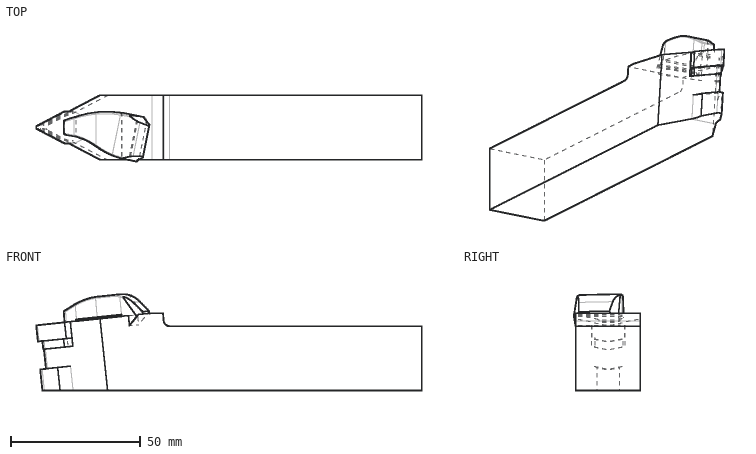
import cadquery as cq
import math


TOTAL_LENGTH = 149.07
SHANK_WIDTH = 25.0
SHANK_HEIGHT = 25.0
HALF_WIDTH = SHANK_WIDTH / 2
STEP_HEIGHT = 30.0
STEP_BACK_X = 49.1
STEP_BACK_LEAN = 0.4
STEP_FILLET = 2.2

TILT = 6.0
NOSE_HEIGHT = 25.3
NOSE_HALF_ANGLE = 27.5
FLANK_SLOPE = math.tan(math.radians(NOSE_HALF_ANGLE))

HEAD_NOSE = 2.0
HEAD_NOSE_RADIUS = 1.0
POCKET_BACK = 13.3
INSERT_RADIUS = 0.8
INSERT_THICKNESS = 6.35
INSERT_HALF_WIDTH = 6.25
INSERT_INSCRIBED_DIAMETER = 12.7
SHIM_NOSE = 1.75
SHIM_RADIUS = 1.15
SHIM_THICKNESS = 3.18
SHIM_LEFT_WIDTH = 5.7
SHIM_RIGHT_WIDTH = 5.0
SHIM_DEPTH = INSERT_THICKNESS + SHIM_THICKNESS
FOOT_NOSE = -0.25
FOOT_RADIUS = 1.35
FOOT_DEPTH = 17.1
FOOT_FLANK_END = 6.6
FOOT_END = 11.5

CLAMP_TURN = 11.5
CLAMP_TOP = 8.55
CLAMP_NOSE = 11.0
CLAMP_NOSE_HALF_WIDTH = 2.8
CLAMP_NOSE_FILLET = 0.8
CLAMP_NOSE_TOP_FILLET = 0.5
CLAMP_DRAFT = 2.0
CLAMP_NOSE_HEIGHT = 4.2
CLAMP_ARC_START = (15.35, 6.3)
CLAMP_ARC_END = 24.1
CLAMP_PAD_END = 15.5
CLAMP_GAP = 0.6
CLAMP_GAP_END = 33.2
TAIL_ARC_START = 31.9
TAIL_ARC_RADIUS = 10.0
TAIL_SLOPE = 50.0
TAIL_END = 43.0
CLAMP_LEFT_START = (15.7, 4.25)
CLAMP_LEFT_MIDDLE = (23.6, 5.95)
CLAMP_LEFT_END = 33.0
CLAMP_RIGHT_START = (15.7, -3.6)
CLAMP_RIGHT_HOLLOW = (19.5, -4.95)
CLAMP_RIGHT_WAIST = (23.7, -7.4)
CLAMP_RIGHT_BULGE = (28.3, -10.2)
CLAMP_RIGHT_END = 34.9
TAIL_RIGHT = -5.17
TAIL_LEFT = 12.3
TAIL_RIGHT_CORNER = 35.1
TAIL_LEFT_CORNER = 34.5
TAIL_CORNER_NORMAL = (0.586, 0.717, 0.37)

GROOVE_FRONT = 37.65
GROOVE_DEPTH = 3.87

REACH = 60.0


def head_plane(turn=0.0):
    """Plane on the head's top; its x axis runs back from the nose, turned about the normal."""
    plane = cq.Plane(origin=(0, 0, NOSE_HEIGHT), xDir=(1, 0, 0), normal=(0, 0, 1))
    return plane.rotated((0, -TILT, 0)).rotated((0, 0, -turn))


def head_side_plane(turn=0.0):
    """Plane across the head's top, for profiles in distance back and height."""
    top = head_plane(turn)
    return cq.Plane(origin=top.origin, xDir=top.xDir, normal=-top.yDir)


def apex(nose, radius):
    """Where the two flanks of a rounded nose would meet."""
    return nose + radius - radius / math.sin(math.radians(NOSE_HALF_ANGLE))


def flank_y(distance, nose, radius):
    """Half width of a nose at a distance behind the head frame's origin."""
    return (distance - apex(nose, radius)) * FLANK_SLOPE


def flank_distance(half_width, nose, radius):
    """Distance at which a nose reaches a half width."""
    return apex(nose, radius) + half_width / FLANK_SLOPE


def start_nose(nose, radius):
    """Start an outline at the right end of the nose arc and draw the arc to its left end."""
    half_angle = math.radians(NOSE_HALF_ANGLE)
    tangent_x = nose + radius - radius * math.sin(half_angle)
    tangent_y = radius * math.cos(half_angle)
    outline = cq.Workplane(head_plane()).moveTo(tangent_x, -tangent_y)
    return outline.threePointArc((nose, 0), (tangent_x, tangent_y))


def layer(outline, top, bottom):
    """Prism of a head outline between two depths below the head's top."""
    return outline.extrude(top - bottom).translate(head_plane().zDir * -top)


def make_insert():
    flat_start = flank_distance(INSERT_HALF_WIDTH, 0, INSERT_RADIUS)
    half_diagonal = INSERT_INSCRIBED_DIAMETER / 2 / math.sin(math.radians(NOSE_HALF_ANGLE))
    center = apex(0, INSERT_RADIUS) + half_diagonal
    flat_end = 2 * center - flat_start
    far_apex = center + half_diagonal
    outline = (
        start_nose(0, INSERT_RADIUS)
        .lineTo(flat_start, INSERT_HALF_WIDTH)
        .lineTo(flat_end, INSERT_HALF_WIDTH)
        .lineTo(far_apex, 0)
        .lineTo(flat_end, -INSERT_HALF_WIDTH)
        .lineTo(flat_start, -INSERT_HALF_WIDTH)
        .close()
    )
    return layer(outline, 0, INSERT_THICKNESS)


def make_shim():
    left_start = flank_distance(SHIM_LEFT_WIDTH, SHIM_NOSE, SHIM_RADIUS)
    right_start = flank_distance(SHIM_RIGHT_WIDTH, SHIM_NOSE, SHIM_RADIUS)
    outline = (
        start_nose(SHIM_NOSE, SHIM_RADIUS)
        .lineTo(left_start, SHIM_LEFT_WIDTH)
        .lineTo(POCKET_BACK, SHIM_LEFT_WIDTH)
        .lineTo(POCKET_BACK, -SHIM_RIGHT_WIDTH)
        .lineTo(right_start, -SHIM_RIGHT_WIDTH)
        .close()
    )
    return layer(outline, INSERT_THICKNESS, SHIM_DEPTH)


def make_foot():
    """Wider nose at the bottom of the head, blended into the head's flanks."""
    flank_end_y = flank_y(FOOT_FLANK_END, FOOT_NOSE, FOOT_RADIUS)
    end_y = flank_y(FOOT_END, HEAD_NOSE, HEAD_NOSE_RADIUS)
    run = FOOT_END - FOOT_FLANK_END
    rise = end_y - flank_end_y
    blend_radius = (run**2 + rise**2) / (2 * rise)
    half_sweep = math.atan2(rise, run)
    middle_x = FOOT_FLANK_END + blend_radius * math.sin(half_sweep)
    middle_y = flank_end_y + blend_radius * (1 - math.cos(half_sweep))
    outline = (
        start_nose(FOOT_NOSE, FOOT_RADIUS)
        .lineTo(FOOT_FLANK_END, flank_end_y)
        .threePointArc((middle_x, middle_y), (FOOT_END, end_y))
        .lineTo(FOOT_END, -end_y)
        .threePointArc((middle_x, -middle_y), (FOOT_FLANK_END, -flank_end_y))
        .close()
    )
    foot = layer(outline, FOOT_DEPTH, FOOT_DEPTH + SHANK_HEIGHT)
    below = cq.Workplane("XY").rect(REACH, REACH).extrude(-REACH)
    return foot.cut(below)


def make_blank():
    """Shank with its raised head, before the nose is shaped."""
    tilt_slope = math.tan(math.radians(TILT))
    ridge_x = (STEP_HEIGHT - NOSE_HEIGHT) / tilt_slope
    front_x = -SHANK_HEIGHT * tilt_slope
    step_foot_x = STEP_BACK_X + STEP_BACK_LEAN
    blank = (
        cq.Workplane("XZ")
        .moveTo(front_x, 0)
        .lineTo(TOTAL_LENGTH, 0)
        .lineTo(TOTAL_LENGTH, SHANK_HEIGHT)
        .lineTo(step_foot_x, SHANK_HEIGHT)
        .lineTo(STEP_BACK_X, STEP_HEIGHT)
        .lineTo(ridge_x, STEP_HEIGHT)
        .lineTo(front_x, NOSE_HEIGHT + front_x * tilt_slope)
        .close()
        .extrude(HALF_WIDTH, both=True)
    )
    step_foot = cq.selectors.NearestToPointSelector((step_foot_x, 0, SHANK_HEIGHT))
    return blank.edges("|Y").edges(step_foot).fillet(STEP_FILLET)


def make_head_outline():
    """Tilted prism that trims the blank to its pointed head."""
    shoulder = flank_distance(HALF_WIDTH, HEAD_NOSE, HEAD_NOSE_RADIUS)
    far = TOTAL_LENGTH + REACH
    outline = (
        start_nose(HEAD_NOSE, HEAD_NOSE_RADIUS)
        .lineTo(shoulder, HALF_WIDTH)
        .lineTo(far, HALF_WIDTH)
        .lineTo(far, -HALF_WIDTH)
        .lineTo(shoulder, -HALF_WIDTH)
        .close()
    )
    return layer(outline, -REACH, REACH)


def make_pocket():
    """Open space at the nose for the insert and the shim."""
    outline = cq.Workplane(head_plane()).rect(2 * POCKET_BACK, REACH)
    return layer(outline, -REACH, SHIM_DEPTH)


def make_groove():
    """V groove across the head, open on the right side."""
    groove = (
        cq.Workplane(head_side_plane(CLAMP_TURN))
        .moveTo(GROOVE_FRONT, 0)
        .lineTo(GROOVE_FRONT, -GROOVE_DEPTH)
        .lineTo(GROOVE_FRONT + GROOVE_DEPTH, 0)
        .close()
        .extrude(REACH)
        .translate(head_plane(CLAMP_TURN).yDir * TAIL_LEFT)
    )
    return cut_tail_corners(groove)


def make_holder():
    body = make_blank().intersect(make_head_outline()).cut(make_pocket())
    for nose_part in (make_shim(), make_insert(), make_foot()):
        body = body.cut(nose_part, clean=False).union(nose_part, clean=False)
    return body.cut(make_groove(), clean=False)


def make_clamp_front_profile():
    """Height profile from the nose back: pad, rising face, round and flat top."""
    arc_x, arc_w = CLAMP_ARC_START
    return (
        cq.Workplane(head_side_plane())
        .moveTo(CLAMP_NOSE, 0)
        .lineTo(CLAMP_NOSE, CLAMP_NOSE_HEIGHT)
        .lineTo(arc_x, arc_w)
        .tangentArcPoint((CLAMP_ARC_END, CLAMP_TOP), relative=False)
        .lineTo(REACH, CLAMP_TOP)
        .lineTo(REACH, -REACH)
        .lineTo(CLAMP_GAP_END, -REACH)
        .lineTo(CLAMP_GAP_END, CLAMP_GAP)
        .lineTo(CLAMP_PAD_END, CLAMP_GAP)
        .lineTo(CLAMP_PAD_END, 0)
        .close()
        .extrude(REACH, both=True)
    )


def make_clamp_tail_profile():
    """Height profile along the turned tail: round, sloped end and the tooth below."""
    slope = math.radians(TAIL_SLOPE)
    arc_end = TAIL_ARC_START + TAIL_ARC_RADIUS * math.sin(slope)
    arc_end_w = CLAMP_TOP - TAIL_ARC_RADIUS * (1 - math.cos(slope))
    end_w = arc_end_w - (TAIL_END - arc_end) * math.tan(slope)
    arc_middle = TAIL_ARC_START + TAIL_ARC_RADIUS * math.sin(slope / 2)
    arc_middle_w = CLAMP_TOP - TAIL_ARC_RADIUS * (1 - math.cos(slope / 2))
    return (
        cq.Workplane(head_side_plane(CLAMP_TURN))
        .moveTo(0, CLAMP_TOP)
        .lineTo(TAIL_ARC_START, CLAMP_TOP)
        .threePointArc((arc_middle, arc_middle_w), (arc_end, arc_end_w))
        .lineTo(TAIL_END, end_w)
        .lineTo(TAIL_END, 0)
        .lineTo(GROOVE_FRONT + GROOVE_DEPTH, 0)
        .lineTo(GROOVE_FRONT, -GROOVE_DEPTH)
        .lineTo(GROOVE_FRONT, 0)
        .lineTo(0, 0)
        .close()
        .extrude(REACH, both=True)
    )


def tail_point(along, across):
    """Head-frame point of a place given along and across the turned tail."""
    turn = math.radians(CLAMP_TURN)
    x = along * math.cos(turn) + across * math.sin(turn)
    y = across * math.cos(turn) - along * math.sin(turn)
    return (x, y)


def make_clamp_outline():
    outline = (
        cq.Workplane(head_plane())
        .moveTo(CLAMP_NOSE, -CLAMP_NOSE_HALF_WIDTH)
        .lineTo(CLAMP_NOSE, CLAMP_NOSE_HALF_WIDTH)
        .lineTo(*CLAMP_LEFT_START)
        .threePointArc(CLAMP_LEFT_MIDDLE, tail_point(CLAMP_LEFT_END, TAIL_LEFT))
        .lineTo(*tail_point(REACH, TAIL_LEFT))
        .lineTo(*tail_point(REACH, TAIL_RIGHT))
        .lineTo(*tail_point(CLAMP_RIGHT_END, TAIL_RIGHT))
        .threePointArc(CLAMP_RIGHT_BULGE, CLAMP_RIGHT_WAIST)
        .threePointArc(CLAMP_RIGHT_HOLLOW, CLAMP_RIGHT_START)
        .close()
    )
    return outline


def make_clamp_sides():
    """Sides of the clamp: drafted above the head, straight for the tooth below."""
    above = make_clamp_outline().extrude(CLAMP_TOP, taper=CLAMP_DRAFT)
    return above.union(make_clamp_outline().extrude(-GROOVE_DEPTH))


def make_corner_cut(side, along, across):
    """Block beyond the sloped face on a rear corner of the tail."""
    frame = head_plane(CLAMP_TURN)
    nx, ny, nz = TAIL_CORNER_NORMAL
    normal = frame.xDir * nx + frame.yDir * (side * ny) + frame.zDir * nz
    start = frame.toWorldCoords((along, across, CLAMP_TOP))
    return cq.Workplane(cq.Plane(origin=start, normal=normal)).rect(REACH, REACH).extrude(REACH)


def cut_tail_corners(body):
    right_cut = make_corner_cut(-1, TAIL_RIGHT_CORNER, TAIL_RIGHT)
    left_cut = make_corner_cut(1, TAIL_LEFT_CORNER, TAIL_LEFT)
    return body.cut(right_cut).cut(left_cut)


def round_nose(clamp):
    """Round the two upright edges of the clamp's nose, then the edge over its front."""
    frame = head_plane()
    for side in (-1, 1):
        middle = (CLAMP_NOSE, side * CLAMP_NOSE_HALF_WIDTH, CLAMP_NOSE_HEIGHT / 2)
        upright = cq.selectors.NearestToPointSelector(frame.toWorldCoords(middle).toTuple())
        clamp = clamp.edges(upright).fillet(CLAMP_NOSE_FILLET)
    top_middle = (CLAMP_NOSE, 0, CLAMP_NOSE_HEIGHT)
    front = cq.selectors.NearestToPointSelector(frame.toWorldCoords(top_middle).toTuple())
    return clamp.edges(front).fillet(CLAMP_NOSE_TOP_FILLET)


def make_clamp():
    clamp = make_clamp_sides().intersect(make_clamp_front_profile()).intersect(make_clamp_tail_profile())
    return round_nose(cut_tail_corners(clamp))


holder = make_holder()
clamp = make_clamp()

result = cq.Compound.makeCompound([*holder.solids().vals(), *clamp.solids().vals()])